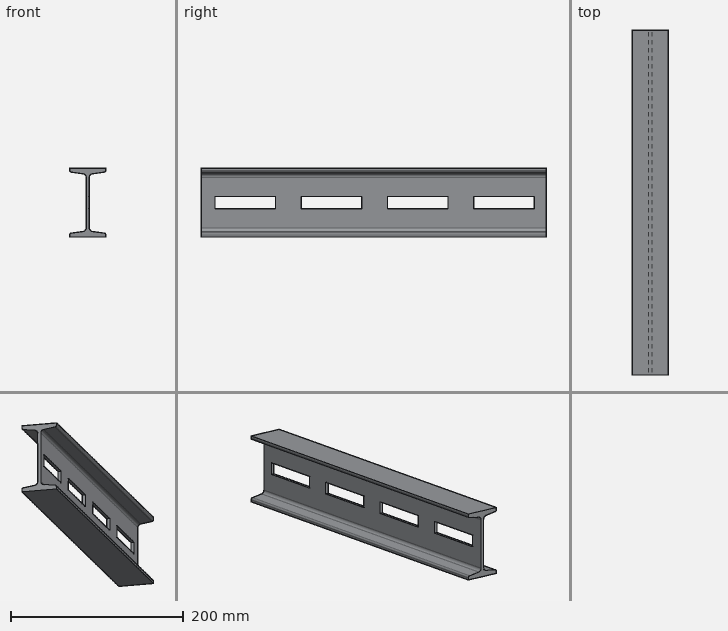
import cadquery as cq

length = 400.0
height = 80.0
flange_width = 42.0
web_thickness = 3.9
flange_thickness = 6.0
flange_slope = 0.14
root_radius = 3.9
toe_radius = 2.3

slot_length = 70.0
slot_height = 14.0
slot_pitch = 100.0
slot_count = 4
slot_end_margin = 14.0

half_width = flange_width / 2
half_height = height / 2
half_web = web_thickness / 2


def inner_flange_z(x):
    """Height of the sloping inner face of the top flange at distance x from the web plane."""
    return half_height - flange_thickness + flange_slope * (x - flange_width / 4)


def make_beam():
    toe_z = inner_flange_z(half_width)
    root_z = inner_flange_z(half_web)
    right_side = [
        (half_width, -half_height),
        (half_width, -toe_z),
        (half_web, -root_z),
        (half_web, root_z),
        (half_width, toe_z),
        (half_width, half_height),
    ]
    left_side = [(-x, z) for x, z in reversed(right_side)]
    beam = (
        cq.Workplane("XZ")
        .polyline(right_side + left_side)
        .close()
        .extrude(length / 2, both=True)
    )

    between_flange_faces = cq.selectors.BoxSelector(
        (-flange_width, -length, -half_height + toe_radius),
        (flange_width, length, half_height - toe_radius),
    )
    beam = beam.faces("<X or >X").edges("|Y").edges(between_flange_faces).fillet(toe_radius)

    near_web = cq.selectors.BoxSelector(
        (-web_thickness, -length, -half_height),
        (web_thickness, length, half_height),
    )
    return beam.edges("|Y").edges(near_web).fillet(root_radius)


def make_slots():
    first_slot_y = length / 2 - slot_end_margin - slot_length / 2
    slot_centers = [(first_slot_y - i * slot_pitch, 0) for i in range(slot_count)]
    return (
        cq.Workplane("YZ")
        .pushPoints(slot_centers)
        .rect(slot_length, slot_height)
        .extrude(half_width, both=True)
    )


result = make_beam().cut(make_slots())